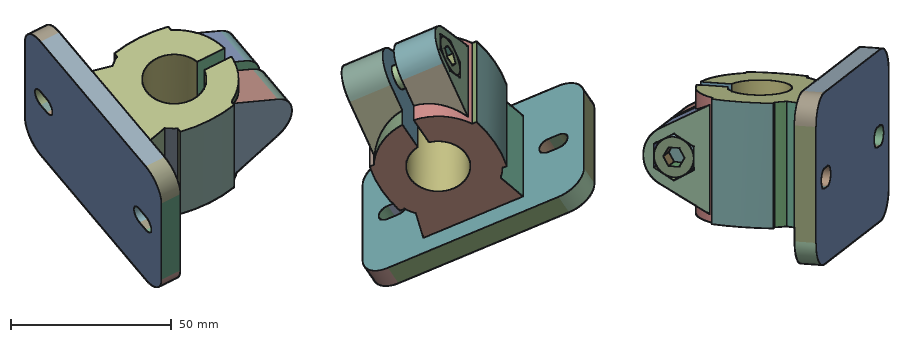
import cadquery as cq
import math


plate_width = 78.0
plate_height = 55.0
plate_thickness = 7.0
plate_corner_radius = 9.0
bore_to_plate_back = 30.0
slot_length = 10.0
slot_width = 6.5
slot_spacing = 56.55

ring_height = 40.0
ring_radius = 20.0
bore_radius = ring_radius / 2
clamp_gap = 4.0

cheek_half_length = bore_radius
cheek_bulge_radius = 45.0

foot_neck_half_width = 15.0
foot_base_half_width = 17.55

ears_width = 33.0
ear_radius = 10.0
ear_center_y = 22.9
ear_flank_angle = math.radians(28)

hexagon_sides = 6
screw_diameter = 8.0
head_diameter = 12.9
head_height = screw_diameter
recess_across_corners = 15.0
socket_across_flats = 6.0
socket_depth = socket_across_flats

plate_back_y = -bore_to_plate_back
plate_front_y = plate_back_y + plate_thickness


def extrude_centered(sketch, height):
    """Extrude equally to both sides of the sketch plane."""
    return sketch.extrude(height / 2, both=True)


def make_plate():
    plate = (
        cq.Workplane("XY")
        .box(plate_width, plate_thickness, plate_height)
        .edges("|Y")
        .fillet(plate_corner_radius)
        .translate((0, (plate_back_y + plate_front_y) / 2, 0))
    )
    slots = (
        cq.Workplane("XZ", origin=(0, plate_front_y, 0))
        .pushPoints([(-slot_spacing / 2, 0), (slot_spacing / 2, 0)])
        .slot2D(slot_length, slot_width)
        .extrude(plate_thickness)
    )
    return plate.cut(slots)


def make_ring():
    return extrude_centered(cq.Workplane("XY").circle(ring_radius), ring_height)


def make_cheeks():
    bulge = cheek_bulge_radius - math.sqrt(cheek_bulge_radius**2 - cheek_half_length**2)
    edge_x = ring_radius - bulge
    outline = (
        cq.Workplane("XY")
        .moveTo(-edge_x, -cheek_half_length)
        .lineTo(edge_x, -cheek_half_length)
        .threePointArc((ring_radius, 0), (edge_x, cheek_half_length))
        .lineTo(-edge_x, cheek_half_length)
        .threePointArc((-ring_radius, 0), (-edge_x, -cheek_half_length))
        .close()
    )
    return extrude_centered(outline, ring_height)


def make_foot():
    neck_y = -math.sqrt(ring_radius**2 - foot_neck_half_width**2)
    outline = cq.Workplane("XY").polyline(
        [
            (-foot_neck_half_width, neck_y),
            (foot_neck_half_width, neck_y),
            (foot_base_half_width, plate_front_y),
            (-foot_base_half_width, plate_front_y),
        ]
    ).close()
    return extrude_centered(outline, ring_height)


def make_ears():
    """Rounded wedge whose flanks are tangent to the tip; its base is buried in the ring."""
    sin_flank = math.sin(ear_flank_angle)
    cos_flank = math.cos(ear_flank_angle)
    tangent_y = ear_center_y + ear_radius * sin_flank
    tangent_z = ear_radius * cos_flank
    base_y = bore_radius
    base_z = tangent_z + (tangent_y - base_y) * math.tan(ear_flank_angle)
    outline = (
        cq.Workplane("YZ")
        .moveTo(base_y, -base_z)
        .lineTo(tangent_y, -tangent_z)
        .threePointArc((ear_center_y + ear_radius, 0), (tangent_y, tangent_z))
        .lineTo(base_y, base_z)
        .close()
    )
    return extrude_centered(outline, ears_width)


def make_bore_and_gap():
    bore = extrude_centered(cq.Workplane("XY").circle(bore_radius), ring_height)
    gap_length = ear_center_y + ear_radius
    gap = (
        cq.Workplane("XY")
        .box(clamp_gap, gap_length, ring_height)
        .translate((0, gap_length / 2, 0))
    )
    return bore.union(gap)


def screw_plane():
    """Outer face of the -X ear, centred on the screw, with its normal along +X."""
    return cq.Workplane("YZ", origin=(-ears_width / 2, ear_center_y, 0))


def make_head_recess():
    """Hexagonal pocket around the screw head, with corners pointing to +Z and -Z."""
    recess = screw_plane().polygon(hexagon_sides, recess_across_corners).extrude(head_height)
    return recess.rotate((0, ear_center_y, 0), (1, ear_center_y, 0), 90)


def make_screw():
    """Socket head screw, flush with the -X ear and ending inside the +X ear."""
    shank_length = ears_width / 2 + clamp_gap
    socket_across_corners = socket_across_flats / math.cos(math.pi / hexagon_sides)
    shank = screw_plane().circle(screw_diameter / 2).extrude(shank_length)
    head = screw_plane().circle(head_diameter / 2).extrude(head_height)
    socket = screw_plane().polygon(hexagon_sides, socket_across_corners).extrude(socket_depth)
    return shank.union(head).cut(socket)


clamp = make_ring().union(make_cheeks()).union(make_foot()).union(make_ears())
clamp = clamp.cut(make_bore_and_gap()).cut(make_head_recess())
result = clamp.union(make_plate()).union(make_screw())